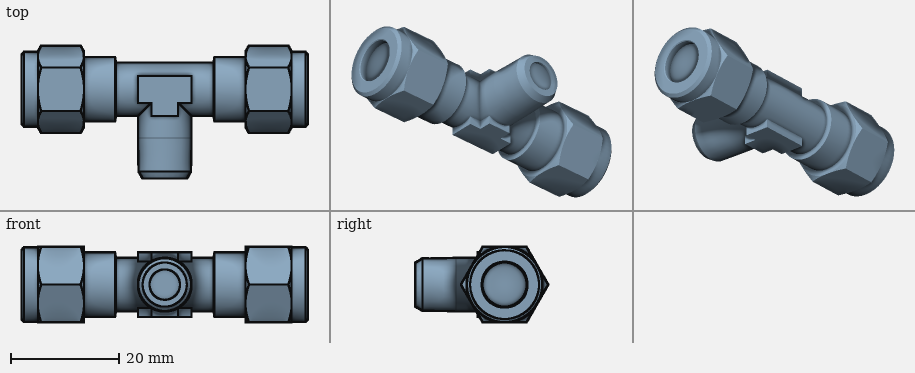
import cadquery as cq
import math

run_length = 53.0
overall_width = 24.6
body_radius = 5.0

nut_flats = 14.0
nut_corner_radius = nut_flats / 2 / math.cos(math.radians(30.0))
collar_radius = 6.95
collar_length = 3.1
collar_chamfer_length = 0.55
collar_face_radius = 6.35
hex_length = 8.5
hex_chamfer_radius = 7.05
hex_chamfer_angle = 30.0
sleeve_radius = 6.0
sleeve_end = 17.5
sleeve_cone_length = 0.15
tube_bore_radius = 4.1
tube_bore_depth = 1.6
bore_chamfer = 0.15

branch_length = overall_width - nut_corner_radius
taper_start = 9.0
tip_chamfer_length = 1.3
tip_radius = 4.1
taper_end_radius = 4.9
branch_bore_radius = 2.8
branch_bore_depth = 0.55

pad_half_height = sleeve_radius
pad_half_length = body_radius
pad_half_width = body_radius / 2


def revolve_about_x(points):
    """Revolve a closed (x, radius) outline around the run axis."""
    return cq.Workplane("XY").polyline(points).close().revolve(360, (0, 0, 0), (1, 0, 0))


def make_hexagon():
    """Hexagon with two corners on the Y axis and both ends chamfered on its corners."""
    start = collar_length
    end = start + hex_length
    prism = (
        cq.Workplane("YZ", origin=(start, 0, 0))
        .polygon(6, 2 * nut_corner_radius)
        .extrude(hex_length)
    )
    corner_height = nut_corner_radius - hex_chamfer_radius
    chamfer_length = corner_height * math.tan(math.radians(hex_chamfer_angle))
    envelope = revolve_about_x([
        (start, 0),
        (start, hex_chamfer_radius),
        (start + chamfer_length, nut_corner_radius),
        (end - chamfer_length, nut_corner_radius),
        (end, hex_chamfer_radius),
        (end, 0),
    ])
    return prism.intersect(envelope)


def make_run_end():
    """Collar, hexagon and sleeve, with the open face at x = 0 and the sleeve toward +X."""
    turned = revolve_about_x([
        (0, 0),
        (0, collar_face_radius),
        (collar_chamfer_length, collar_radius),
        (collar_length, collar_radius),
        (collar_length, sleeve_radius),
        (sleeve_end - sleeve_cone_length, sleeve_radius),
        (sleeve_end, body_radius),
        (sleeve_end, 0),
    ])
    bore = revolve_about_x([
        (0, 0),
        (0, tube_bore_radius + bore_chamfer),
        (bore_chamfer, tube_bore_radius),
        (tube_bore_depth, tube_bore_radius),
        (tube_bore_depth, 0),
    ])
    return turned.union(make_hexagon()).cut(bore)


def make_branch():
    """Straight neck, tapered thread length and chamfered tip with a shallow bore."""
    taper_end = branch_length - tip_chamfer_length
    bore_floor = branch_length - branch_bore_depth
    outline = [
        (0, 0),
        (body_radius, 0),
        (body_radius, -taper_start),
        (taper_end_radius, -taper_end),
        (tip_radius, -branch_length),
        (branch_bore_radius, -branch_length),
        (branch_bore_radius, -bore_floor),
        (0, -bore_floor),
    ]
    return cq.Workplane("XY").polyline(outline).close().revolve(360, (0, 0, 0), (0, 1, 0))


def make_pads():
    """T-shaped block through the junction, leaving a flat above and below it."""
    crossbar = cq.Workplane("XY").box(2 * pad_half_length, 2 * pad_half_width, 2 * pad_half_height)
    stem = (
        cq.Workplane("XY")
        .box(2 * pad_half_width, pad_half_length, 2 * pad_half_height)
        .translate((0, -pad_half_length / 2, 0))
    )
    return crossbar.union(stem)


body_length = run_length - 2 * sleeve_end
body = cq.Workplane("YZ", origin=(-body_length / 2, 0, 0)).circle(body_radius).extrude(body_length)
left_end = make_run_end().translate((-run_length / 2, 0, 0))
right_end = left_end.mirror("YZ")

result = body.union(make_branch()).union(make_pads()).union(left_end).union(right_end)